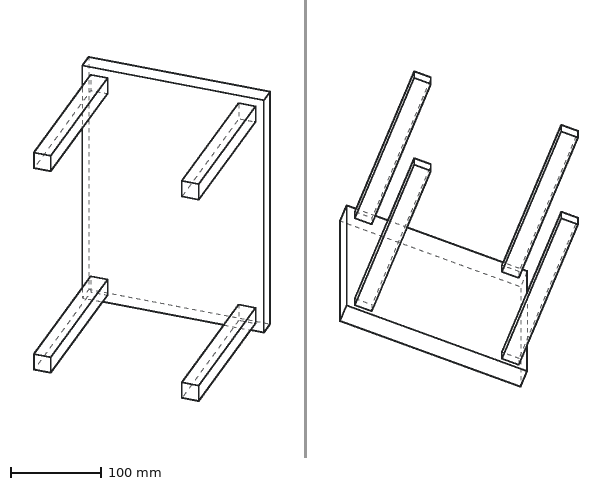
import cadquery as cq

top_width = 215.0
top_length = 300.0
total_depth = 200.0
top_thickness = 20.0
leg_side = 20.0
leg_inset = 10.0

leg_length = total_depth - top_thickness
leg_spacing_x = top_width - 2 * leg_inset - leg_side
leg_spacing_z = top_length - 2 * leg_inset - leg_side

table_top = cq.Workplane("XY").box(
    top_width, top_thickness, top_length, centered=(True, False, True)
)

legs = (
    cq.Workplane("XZ")
    .rarray(leg_spacing_x, leg_spacing_z, 2, 2)
    .rect(leg_side, leg_side)
    .extrude(leg_length)
)

result = table_top.union(legs)